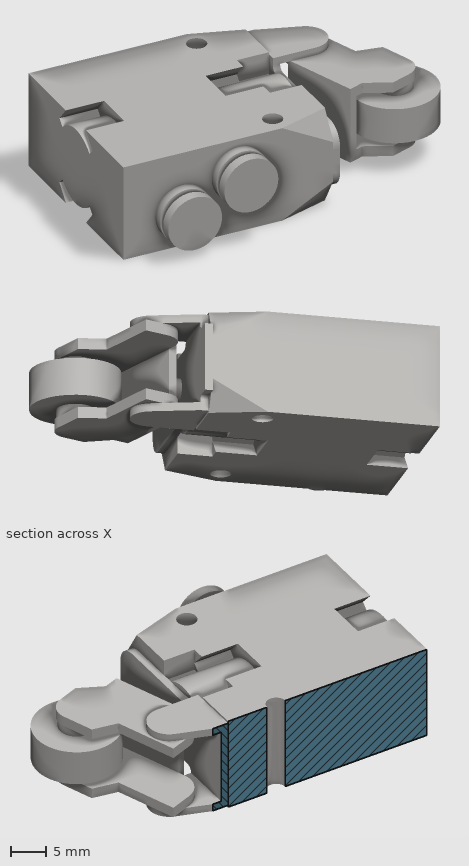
import cadquery as cq
import math


HOUSING_WIDTH = 30.0
HOUSING_LENGTH = 33.0
HOUSING_THICKNESS = 15.0
HALF_WIDTH = HOUSING_WIDTH / 2
HALF_THICKNESS = HOUSING_THICKNESS / 2
CORNER_CUT = (2.5, 8.0, 4.25)
MOUNTING_HOLE_DIAMETER = 3.0
MOUNTING_HOLE_OFFSET = 12.0
MOUNTING_HOLE_Y = 25.0

CORE_RADIUS = 6.0
CHANNEL_TIP = 5.2
CHANNEL_MOUTH_HALF_WIDTH = 3.2
FRONT_CHANNEL_DEPTH = 6.0
REAR_CHANNEL_DEPTH = 11.0
REAR_POCKET_DEPTH = 5.05
REAR_POCKET_HALF_WIDTH = CHANNEL_TIP
REAR_POCKET_FLOOR_Z = 4.0

PORT_CENTERS = ((9.3, -1.95), (18.15, 1.95))
PORT_FLANGE_DIAMETER = 8.5
PORT_NECK_DIAMETER = 5.0
PORT_INNER_FLANGE = 1.5
PORT_NECK = 0.95
PORT_OUTER_FLANGE = 1.6

PLATE_THICKNESS = 1.15
PLATE_HALF_HEIGHT = 5.0
PLATE_CORNER_RADIUS = 3.0
PLATE_REAR_Y = HOUSING_LENGTH + PLATE_THICKNESS
EAR_INNER_Z = 5.95
EAR_THICKNESS = 1.2
EAR_OUTER_Z = EAR_INNER_Z + EAR_THICKNESS
EAR_LEFT_X = -12.4
EAR_TIP_RADIUS = 3.25
LEFT_ROOT_RADIUS = 0.5
RIGHT_ROOT_RADIUS = EAR_INNER_Z - PLATE_HALF_HEIGHT

PLUNGER_DIAMETER = 3.5
PLUNGER_DOME_RADIUS = 2.75
PLUNGER_TIP_Y = 36.95

PIVOT_X = -7.15
PIVOT_Y = 39.8
LEVER_ANGLE = 20
LEVER_HEEL_RADIUS = 3.55
LEVER_TOP_V = 3.55
LEVER_END_U = 13.25
LEVER_END_TOP_V = -2.35
NECK_U = 6.3
SHOULDER_U = 8.3
ROLLER_U = 13.35
ROLLER_V = 4.1
NOSE_RADIUS = 2.95
NOSE_LOWER_V = 0.65
CHEEK_THICKNESS = 1.65
CHEEK_INNER_Z = EAR_INNER_Z - CHEEK_THICKNESS
WEB_START_U = 1.1
WEB_BOTTOM_V = -4.8

ROLLER_DIAMETER = 13.0
ROLLER_WIDTH = 5.55
ROLLER_HUB_DIAMETER = 5.4


def extrude_between(outline, low_z, high_z):
    """Extrude a closed XY outline from low_z to high_z."""
    return outline.extrude(high_z - low_z).translate((0, 0, low_z))


def box_between(low, high):
    """Axis-aligned box between two opposite corners."""
    size = [high[i] - low[i] for i in range(3)]
    return cq.Workplane("XY").box(*size, centered=False).translate(low)


def cylinder_along_y(radius, start_y, end_y):
    """Cylinder on the Y axis."""
    return cq.Workplane("XZ", origin=(0, start_y, 0)).circle(radius).extrude(start_y - end_y)


def make_corner_cut(side_x, side_z):
    """Corner tetrahedron removed at one rear corner of the block."""
    corner = cq.Vector(side_x * HALF_WIDTH, HOUSING_LENGTH, side_z * HALF_THICKNESS)
    leg_x, leg_y, leg_z = CORNER_CUT
    along_x = corner - cq.Vector(side_x * leg_x, 0, 0)
    along_y = corner - cq.Vector(0, leg_y, 0)
    along_z = corner - cq.Vector(0, 0, side_z * leg_z)
    triangles = (
        (corner, along_x, along_y),
        (corner, along_y, along_z),
        (corner, along_z, along_x),
        (along_x, along_y, along_z),
    )
    faces = [cq.Face.makeFromWires(cq.Wire.makePolygon(points, close=True)) for points in triangles]
    return cq.Workplane(cq.Solid.makeSolid(cq.Shell.makeShell(faces)))


def make_channel(side_z, start_y, end_y):
    """Undercut channel wrapped around the core on one Z side."""
    tip_z = side_z * CHANNEL_TIP
    face_z = side_z * HALF_THICKNESS
    outline = [
        (0, 0),
        (-CHANNEL_TIP, tip_z),
        (-CHANNEL_MOUTH_HALF_WIDTH, face_z),
        (CHANNEL_MOUTH_HALF_WIDTH, face_z),
        (CHANNEL_TIP, tip_z),
    ]
    wedge = cq.Workplane("XZ", origin=(0, start_y, 0)).polyline(outline).close().extrude(start_y - end_y)
    return wedge.cut(cylinder_along_y(CORE_RADIUS, start_y, end_y))


def make_rear_pocket(side_z):
    """Wider straight-sided mouth of the rear channel on one Z side."""
    start_y = HOUSING_LENGTH - REAR_POCKET_DEPTH
    floor_z, face_z = sorted((side_z * REAR_POCKET_FLOOR_Z, side_z * HALF_THICKNESS))
    pocket = box_between(
        (-REAR_POCKET_HALF_WIDTH, start_y, floor_z),
        (REAR_POCKET_HALF_WIDTH, HOUSING_LENGTH, face_z),
    )
    return pocket.cut(cylinder_along_y(CORE_RADIUS, start_y, HOUSING_LENGTH))


def make_block():
    """Housing block with mounting holes, sloping rear corners and channels."""
    block = box_between(
        (-HALF_WIDTH, 0, -HALF_THICKNESS),
        (HALF_WIDTH, HOUSING_LENGTH, HALF_THICKNESS),
    )
    hole_centers = [(side * MOUNTING_HOLE_OFFSET, MOUNTING_HOLE_Y) for side in (-1, 1)]
    holes = cq.Workplane("XY").pushPoints(hole_centers).circle(MOUNTING_HOLE_DIAMETER / 2)
    block = block.cut(extrude_between(holes, -HALF_THICKNESS, HALF_THICKNESS))
    for side_z in (-1, 1):
        for side_x in (-1, 1):
            block = block.cut(make_corner_cut(side_x, side_z))
        block = block.cut(make_channel(side_z, 0, FRONT_CHANNEL_DEPTH))
        block = block.cut(make_channel(side_z, HOUSING_LENGTH - REAR_CHANNEL_DEPTH, HOUSING_LENGTH))
        block = block.cut(make_rear_pocket(side_z))
    return block


def make_port(center_y, center_z):
    """Port on the +X face: two flanges with a narrower neck between them."""
    start = cq.Workplane("YZ", origin=(HALF_WIDTH, center_y, center_z))
    port = start.circle(PORT_FLANGE_DIAMETER / 2).extrude(PORT_INNER_FLANGE)
    port = port.faces(">X").workplane().circle(PORT_NECK_DIAMETER / 2).extrude(PORT_NECK)
    return port.faces(">X").workplane().circle(PORT_FLANGE_DIAMETER / 2).extrude(PORT_OUTER_FLANGE)


def make_plunger():
    """Domed plunger standing on the block's rear face."""
    radius = PLUNGER_DIAMETER / 2
    dome_center_y = PLUNGER_TIP_Y - PLUNGER_DOME_RADIUS
    dome_edge_y = dome_center_y + math.sqrt(PLUNGER_DOME_RADIUS**2 - radius**2)
    profile = (
        cq.Workplane("XY")
        .moveTo(0, HOUSING_LENGTH)
        .lineTo(radius, HOUSING_LENGTH)
        .lineTo(radius, dome_edge_y)
        .radiusArc((0, PLUNGER_TIP_Y), -PLUNGER_DOME_RADIUS)
        .close()
    )
    return profile.revolve(360, (0, 0, 0), (0, 1, 0))


def make_housing():
    """Body 1: block with ports and plunger."""
    housing = make_block().union(make_plunger())
    for center_y, center_z in PORT_CENTERS:
        housing = housing.union(make_port(center_y, center_z))
    return housing


def make_plate():
    """Rear plate, rounded at its +X corners, with a hole that the plunger fills."""
    plate = box_between(
        (-HALF_WIDTH, HOUSING_LENGTH, -PLATE_HALF_HEIGHT),
        (HALF_WIDTH, PLATE_REAR_Y, PLATE_HALF_HEIGHT),
    )
    plate = plate.edges("|Y and >X").fillet(PLATE_CORNER_RADIUS)
    return plate.cut(cylinder_along_y(PLUNGER_DIAMETER / 2, HOUSING_LENGTH, PLATE_REAR_Y))


def make_ear():
    """Upright ear on the +Z side, tapering to a rounded tip around the pivot."""
    right_x = PIVOT_X + EAR_TIP_RADIUS
    run = PIVOT_X - EAR_LEFT_X
    rise = PIVOT_Y - PLATE_REAR_Y
    slant = math.atan2(rise, run) - math.acos(EAR_TIP_RADIUS / math.hypot(run, rise))
    tangent = math.pi + slant
    tangent_point = (
        PIVOT_X + EAR_TIP_RADIUS * math.cos(tangent),
        PIVOT_Y + EAR_TIP_RADIUS * math.sin(tangent),
    )
    outline = (
        cq.Workplane("XY")
        .moveTo(EAR_LEFT_X, HOUSING_LENGTH)
        .lineTo(right_x, HOUSING_LENGTH)
        .lineTo(right_x, PIVOT_Y)
        .threePointArc((PIVOT_X, PIVOT_Y + EAR_TIP_RADIUS), tangent_point)
        .lineTo(EAR_LEFT_X, PLATE_REAR_Y)
        .close()
    )
    return extrude_between(outline, EAR_INNER_Z, EAR_OUTER_Z)


def make_ear_root():
    """Part of the plate that joins it to the +Z ear, with a hollow fillet on each side."""
    right_x = PIVOT_X + EAR_TIP_RADIUS
    outline = (
        cq.Workplane("XZ", origin=(0, PLATE_REAR_Y, 0))
        .moveTo(EAR_LEFT_X - LEFT_ROOT_RADIUS, PLATE_HALF_HEIGHT)
        .radiusArc((EAR_LEFT_X, PLATE_HALF_HEIGHT + LEFT_ROOT_RADIUS), -LEFT_ROOT_RADIUS)
        .lineTo(EAR_LEFT_X, EAR_INNER_Z)
        .lineTo(right_x, EAR_INNER_Z)
        .radiusArc((right_x + RIGHT_ROOT_RADIUS, PLATE_HALF_HEIGHT), -RIGHT_ROOT_RADIUS)
        .close()
    )
    return outline.extrude(PLATE_THICKNESS)


def make_bracket():
    """Rear plate with an ear on each Z side."""
    bracket_side = make_ear_root().union(make_ear())
    return make_plate().union(bracket_side).union(bracket_side.mirror("XY"))


def make_cheek():
    """Lever side plate on the +Z side, in lever coordinates."""
    heel_mid = LEVER_HEEL_RADIUS * math.sqrt(0.5)
    nose_mid = NOSE_RADIUS * math.sqrt(0.5)
    outline = (
        cq.Workplane("XY")
        .moveTo(0, -LEVER_HEEL_RADIUS)
        .threePointArc((-heel_mid, -heel_mid), (-LEVER_HEEL_RADIUS, 0))
        .lineTo(-LEVER_HEEL_RADIUS, LEVER_TOP_V)
        .lineTo(NECK_U, LEVER_TOP_V)
        .lineTo(SHOULDER_U, ROLLER_V + NOSE_RADIUS)
        .lineTo(ROLLER_U, ROLLER_V + NOSE_RADIUS)
        .threePointArc((ROLLER_U + nose_mid, ROLLER_V + nose_mid), (ROLLER_U + NOSE_RADIUS, ROLLER_V))
        .lineTo(ROLLER_U + NOSE_RADIUS, NOSE_LOWER_V)
        .lineTo(LEVER_END_U, LEVER_END_TOP_V)
        .lineTo(LEVER_END_U, -LEVER_HEEL_RADIUS)
        .close()
    )
    return extrude_between(outline, CHEEK_INNER_Z, EAR_INNER_Z)


def make_lever():
    """Lever: two cheeks, the web that joins them, and the roller on its hub."""
    lever = box_between(
        (WEB_START_U, WEB_BOTTOM_V, -EAR_INNER_Z),
        (LEVER_END_U, -LEVER_HEEL_RADIUS, EAR_INNER_Z),
    )
    cheek = make_cheek()
    roller_axis = cq.Workplane("XY").center(ROLLER_U, ROLLER_V)
    hub = roller_axis.circle(ROLLER_HUB_DIAMETER / 2).extrude(CHEEK_INNER_Z, both=True)
    roller = roller_axis.circle(ROLLER_DIAMETER / 2).extrude(ROLLER_WIDTH / 2, both=True)
    lever = lever.union(cheek).union(cheek.mirror("XY")).union(hub).union(roller)
    return lever.rotate((0, 0, 0), (0, 0, 1), LEVER_ANGLE).translate((PIVOT_X, PIVOT_Y, 0))


def make_lever_unit():
    """Body 2: bracket with the lever held between its ears."""
    return make_bracket().union(make_lever())


housing = make_housing()
lever_unit = make_lever_unit()
result = cq.Compound.makeCompound([housing.val(), lever_unit.val()])